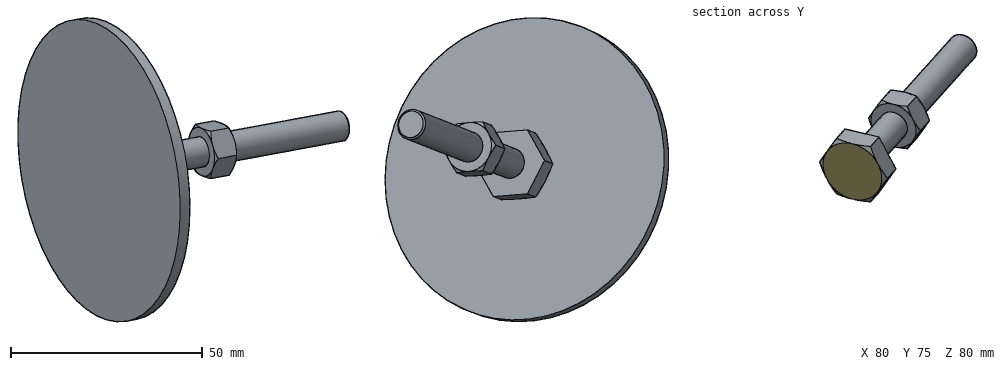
import cadquery as cq
import math

overall_length = 75.0

plate_diameter = 80.0
plate_thickness = 3.0
cone_height = 3.0
cone_base_radius = 3.9
cone_tip_radius = cone_base_radius - cone_height

head_across_flats = 17.0
head_thickness = 6.0
head_start = plate_thickness + cone_height
head_end = head_start + head_thickness
stud_diameter = 8.0
stud_tip_chamfer = 0.5

nut_across_flats = 13.0
nut_thickness = 6.8
nut_start = 31.5

corner_chamfer_angle = math.radians(30)


def cylinder(diameter, start, length):
    """Cylinder along +Y from the given start."""
    return (
        cq.Workplane("XZ", origin=(0, start, 0))
        .circle(diameter / 2)
        .extrude(-length)
    )


def chamfered_hexagon(across_flats, start, thickness, chamfer_far_end):
    """Hexagonal prism along +Y, corners along X, turned down to its flats at the chamfered ends."""
    flat_radius = across_flats / 2
    corner_radius = flat_radius / math.cos(math.pi / 6)
    chamfer_height = (corner_radius - flat_radius) * math.tan(corner_chamfer_angle)
    end = start + thickness

    prism = (
        cq.Workplane("XZ", origin=(0, start, 0))
        .polygon(6, 2 * corner_radius)
        .extrude(-thickness)
    )
    profile = cq.Workplane("XY").moveTo(0, start).lineTo(flat_radius, start)
    profile = profile.lineTo(corner_radius, start + chamfer_height)
    if chamfer_far_end:
        profile = profile.lineTo(corner_radius, end - chamfer_height).lineTo(flat_radius, end)
    else:
        profile = profile.lineTo(corner_radius, end)
    envelope = profile.lineTo(0, end).close().revolve(360, (0, 0, 0), (0, 1, 0))
    return prism.intersect(envelope)


def make_base_plate():
    """Round plate carrying a truncated cone that meets the stud head."""
    plate = cylinder(plate_diameter, 0, plate_thickness)
    cone = (
        cq.Workplane("XY")
        .moveTo(0, plate_thickness)
        .lineTo(cone_base_radius, plate_thickness)
        .lineTo(cone_tip_radius, head_start)
        .lineTo(0, head_start)
        .close()
        .revolve(360, (0, 0, 0), (0, 1, 0))
    )
    return plate.union(cone)


def make_stud():
    """Plain-shank stud with its head, chamfered at the free tip."""
    head = chamfered_hexagon(head_across_flats, head_start, head_thickness, chamfer_far_end=False)
    shank = cylinder(stud_diameter, head_end, overall_length - head_end)
    shank = shank.faces(">Y").chamfer(stud_tip_chamfer)
    return head.union(shank)


def make_jam_nut():
    """Hexagonal nut chamfered on both ends, bored to fit the stud."""
    blank = chamfered_hexagon(nut_across_flats, nut_start, nut_thickness, chamfer_far_end=True)
    return blank.cut(cylinder(stud_diameter, nut_start, nut_thickness))


base_plate = make_base_plate()
stud = make_stud()
jam_nut = make_jam_nut()

result = cq.Compound.makeCompound([base_plate.val(), stud.val(), jam_nut.val()])